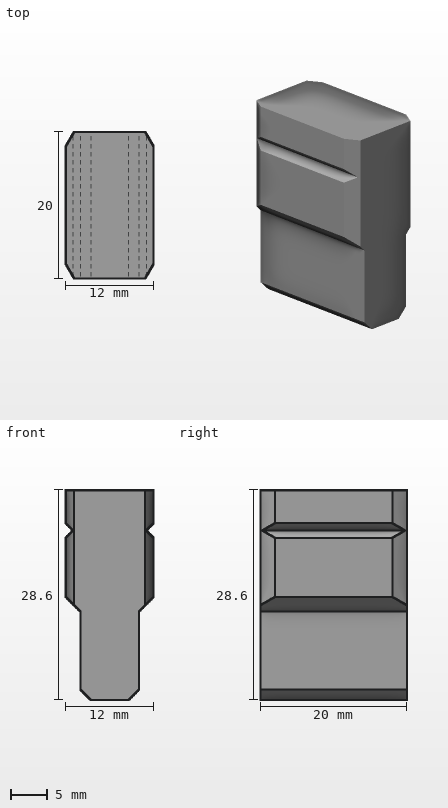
import cadquery as cq
import math

width = 12.0
depth = 20.0
height = 28.6

blade_width = 8.0
blade_height = 12.07
blade_chamfer = 1.43
shoulder = (width - blade_width) / 2

groove_depth = 1.0
groove_drop = 5.5

bevel_along_y = 2.0
bevel_along_x = bevel_along_y * math.tan(math.radians(30))


def stepped_body():
    """Extrude the symmetric side profile along Y."""
    half_head = width / 2
    half_blade = blade_width / 2
    groove_z = height - groove_drop
    right_side = [
        (half_blade - blade_chamfer, 0),
        (half_blade, blade_chamfer),
        (half_blade, blade_height),
        (half_head, blade_height + shoulder),
        (half_head, groove_z - groove_depth),
        (half_head - groove_depth, groove_z),
        (half_head, groove_z + groove_depth),
        (half_head, height),
    ]
    left_side = [(-x, z) for x, z in reversed(right_side)]
    profile = cq.Workplane("XZ").polyline(right_side + left_side).close()
    return profile.extrude(depth / 2, both=True)


def beveled_envelope():
    """Upright octagonal prism that bevels the four corners of the head."""
    half_x = width / 2
    half_y = depth / 2
    inner_x = half_x - bevel_along_x
    inner_y = half_y - bevel_along_y
    outline = [
        (half_x, -inner_y),
        (half_x, inner_y),
        (inner_x, half_y),
        (-inner_x, half_y),
        (-half_x, inner_y),
        (-half_x, -inner_y),
        (-inner_x, -half_y),
        (inner_x, -half_y),
    ]
    return cq.Workplane("XY").polyline(outline).close().extrude(height)


result = stepped_body().intersect(beveled_envelope())